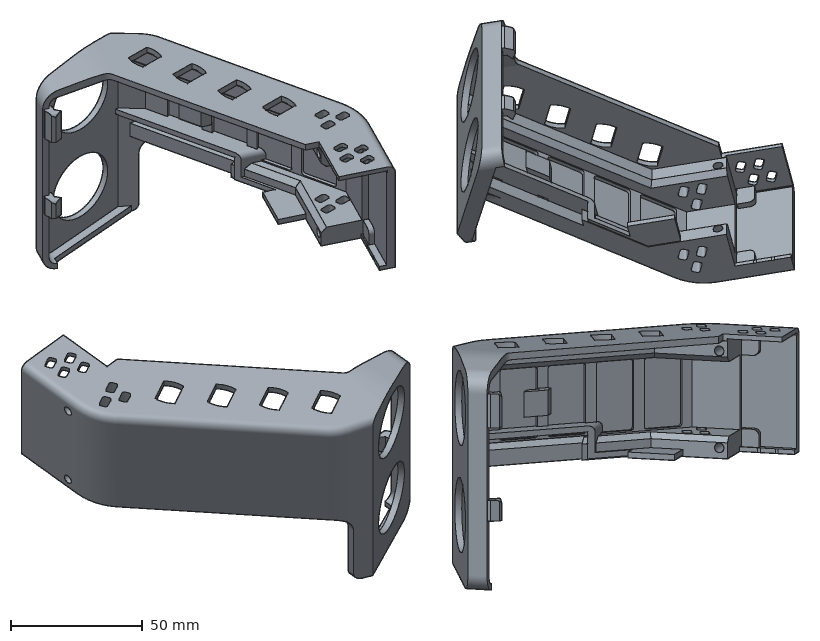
import cadquery as cq
import math

LENGTH = 115.5
DEPTH = 110.8
ARM_HEIGHT = 48.3
ARM_ANGLE = 40.0
PLATE = 2.7
BACK_WALL = 3.5
END_DEPTH = 22.6
ARM_WIDTH = 31.4
BEND_X = 76.7
FACE_TOP_Y = -73.1
FACE_FOOT_X = 17.4
HEAD_X = 25.1
EDGE_ROUND = 3.1
BIG = 231.0
OVERLAP = 1.3
PICK = 0.6

ARM_COS = math.cos(math.radians(ARM_ANGLE))
ARM_SLOPE = math.tan(math.radians(ARM_ANGLE))
FACE_RUN = DEPTH + FACE_TOP_Y
FACE_TILT = math.degrees(math.atan2(FACE_FOOT_X, FACE_RUN))
SIDE_SLOPE = 2.7


def back_y(x, depth=0.0):
    """Y of the line parallel to the sloping back face, at a depth square to it."""
    return (x - BEND_X) * ARM_SLOPE - depth / ARM_COS


def back_x(y, depth=0.0):
    """X of the same line at a given Y."""
    return BEND_X + (y + depth / ARM_COS) / ARM_SLOPE


def prism(points, bottom, top):
    """Upright prism on a plan polygon."""
    return cq.Workplane("XY").workplane(offset=bottom).polyline(points).close().extrude(top - bottom)


CORNER_X = (back_y(0) - FACE_TOP_Y) / (SIDE_SLOPE - ARM_SLOPE)
CORNER = (CORNER_X, back_y(CORNER_X))
NOTCH_X = 92.1
THROAT_Y = -83.0
THROAT_ROUND = 3.5
BEND_ROUND = 24.3
CORNER_ROUND = 17.3


def plan_prism(bottom, top):
    """Whole plan outline, with the two rounded bends of the back and the rounded throat."""
    body = prism([
        (LENGTH, 0),
        (BEND_X, 0),
        CORNER,
        (0, FACE_TOP_Y),
        (FACE_FOOT_X, -DEPTH),
        (HEAD_X, -DEPTH),
        (HEAD_X, back_y(HEAD_X, ARM_WIDTH)),
        (NOTCH_X, back_y(NOTCH_X, ARM_WIDTH)),
        (NOTCH_X, -END_DEPTH),
        (LENGTH, -END_DEPTH),
    ], bottom, top)
    throat = (HEAD_X, back_y(HEAD_X, ARM_WIDTH))
    for (x, y), radius in [((BEND_X, 0), BEND_ROUND), (CORNER, CORNER_ROUND), (throat, THROAT_ROUND)]:
        nearby = cq.selectors.BoxSelector((x - PICK, y - PICK, -2 * BIG), (x + PICK, y + PICK, BIG))
        body = body.edges("|Z").edges(nearby).fillet(radius)
    return body


def in_front(sloping_depth, straight_depth, bottom, top):
    """Space in front of a wall of the given depths along the sloping and straight backs."""
    turn_x = back_x(-straight_depth, sloping_depth)
    return prism([
        (-BIG, back_y(-BIG, sloping_depth)),
        (turn_x, -straight_depth),
        (BIG, -straight_depth),
        (BIG, -BIG),
        (-BIG, -2 * BIG),
    ], bottom, top)


HEAD_BACK_Y = -65.6
HEAD_BOTTOM_BACK = -83.5
HEAD_BOTTOM_FRONT = -88.5
SLOPE_START_Y = -93.2
SLOPE_START_Z = -1.0
SLOPE_BEND_Z = -0.29
SLOPE_END_Z = -4.6
HEAD_TOP_ROUND = 8.1
HEAD_BOTTOM_ROUND = 6.0
HEAD_BACK_ROUND = 4.0
ARM_JOIN_ROUND = 8.1


def head_profile():
    """Head seen from the side, extruded across X."""
    middle_y = (THROAT_Y + SLOPE_START_Y) / 2
    profile = (
        cq.Workplane("YZ").moveTo(0, 0)
        .lineTo(THROAT_Y, 0)
        .threePointArc((middle_y, SLOPE_BEND_Z), (SLOPE_START_Y, SLOPE_START_Z))
        .lineTo(-DEPTH, SLOPE_END_Z)
        .lineTo(-DEPTH, HEAD_BOTTOM_FRONT)
        .lineTo(HEAD_BACK_Y, HEAD_BOTTOM_BACK)
        .lineTo(HEAD_BACK_Y, -ARM_HEIGHT)
        .lineTo(0, -ARM_HEIGHT)
        .close().extrude(BIG, both=True)
    )
    corners = [
        (-DEPTH, SLOPE_END_Z, HEAD_TOP_ROUND),
        (-DEPTH, HEAD_BOTTOM_FRONT, HEAD_BOTTOM_ROUND),
        (HEAD_BACK_Y, HEAD_BOTTOM_BACK, HEAD_BACK_ROUND),
        (HEAD_BACK_Y, -ARM_HEIGHT, ARM_JOIN_ROUND),
    ]
    for y, z, radius in corners:
        nearby = cq.selectors.BoxSelector((-2 * BIG, y - PICK, z - PICK), (2 * BIG, y + PICK, z + PICK))
        profile = profile.edges("|X").edges(nearby).fillet(radius)
    return profile


def outer_block():
    """Solid envelope of the head and the arm, with the rounded top edge along the back."""
    full = plan_prism(-BIG, 0)
    left_of_head = prism([(-BIG, -BIG), (HEAD_X, -BIG), (HEAD_X, 0), (-BIG, 0)], -BIG, 0)
    head = full.intersect(left_of_head)
    arm = plan_prism(-ARM_HEIGHT, 0)
    block = arm.union(head).intersect(head_profile())
    chosen = []
    for edge in block.faces(">Z").edges().vals():
        center = edge.Center()
        on_sloping_back = center.y > back_y(center.x) - BACK_WALL
        on_side_wall = center.x < CORNER_X and center.y > FACE_TOP_Y
        if center.y > -BACK_WALL or on_sloping_back or on_side_wall:
            chosen.append(edge)
    return block.newObject(chosen).fillet(EDGE_ROUND)


SIDE_WALL = 2.8
HEAD_FLOOR_WIDTH = 6.4


def face_offset(distance):
    """Two far points on the line parallel to the face panel, at a distance behind it."""
    along_x = FACE_FOOT_X / math.hypot(FACE_FOOT_X, FACE_RUN)
    along_y = -FACE_RUN / math.hypot(FACE_FOOT_X, FACE_RUN)
    start = (-along_y * distance, FACE_TOP_Y + along_x * distance)
    return [(start[0] + k * along_x, start[1] + k * along_y) for k in (-BIG, BIG)]


def behind_face(distance, bottom, top):
    """Everything further behind the face panel than the distance."""
    upper, lower = face_offset(distance)
    return prism([upper, lower, (BIG * 2, lower[1]), (BIG * 2, upper[1])], bottom, top)


def beside_side_wall(bottom, top):
    """Everything to the +X side of the head's side wall."""
    shift = SIDE_WALL * math.hypot(1, SIDE_SLOPE) / SIDE_SLOPE
    ends = [(y, (y - FACE_TOP_Y) / SIDE_SLOPE + shift) for y in (-BIG, BIG)]
    return prism([(ends[0][1], -BIG), (ends[1][1], BIG), (BIG, BIG), (BIG, -BIG)], bottom, top)


def hollow():
    """Space inside the walls: open towards the front of the arm and at the head's back."""
    walls = in_front(BACK_WALL, BACK_WALL, -BIG, 0)
    inside = walls.intersect(behind_face(PLATE, -BIG, 0)).intersect(beside_side_wall(-BIG, 0))
    front_ceiling = SLOPE_END_Z - PLATE
    section = (
        cq.Workplane("YZ")
        .polyline([
            (BIG, -PLATE),
            (THROAT_Y, -PLATE),
            (PLATE - DEPTH, front_ceiling),
            (PLATE - DEPTH, HEAD_BOTTOM_FRONT + PLATE),
            (HEAD_BACK_Y, HEAD_BOTTOM_BACK + PLATE),
            (BIG, HEAD_BOTTOM_BACK + PLATE),
        ])
        .close().extrude(BIG, both=True)
        .edges("|X").edges("<Y").fillet(HEAD_BOTTOM_ROUND - PLATE)
    )
    past_floor = behind_face(HEAD_FLOOR_WIDTH, -BIG, -ARM_HEIGHT)
    end_y = HEAD_BOTTOM_ROUND - DEPTH
    end_wall = prism([(-BIG, -BIG), (BIG, -BIG), (BIG, end_y), (-BIG, end_y)], -BIG, -ARM_HEIGHT)
    past_floor = past_floor.cut(end_wall)
    return inside.intersect(section).union(inside.intersect(past_floor))


LEDGE_TOP_HEIGHT = 8.9
LEDGE_BOTTOM_HEIGHT = 6.2
LEDGE_CHAMFER = 2.2
LEDGE_END_X = 93.8
LEDGE_STRAIGHT = 22.4
TOP_LEDGE = 9.6
BOTTOM_LEDGE = 8.7
BOTTOM_LEDGE_START_X = 41.6
BOTTOM_LEDGE_INNER = 6.4
WALL_STRAIGHT = 6.0
ON_LINE = 0.01
LIP = 1.8
BOTTOM_LIP_DEPTH = 6.4
STOP_START_X = 94.4
STOP_WIDTH = 6.9
STOP_TOP_HEIGHT = 9.1
STOP_BOTTOM_HEIGHT = 6.9
STOP_DEPTH = 5.8
STOP_ROUND = 2.3


def across(start_x, end_x, bottom, top):
    """Slab that limits a feature to a range of X."""
    return prism([(start_x, -BIG), (end_x, -BIG), (end_x, BIG), (start_x, BIG)], bottom, top)


def step(sloping_depth, straight_depth, bottom, top, start_x=0.0):
    """Step of the given depths along the inside of the back wall, up to the ledge end."""
    body = plan_prism(bottom, top).cut(in_front(sloping_depth, straight_depth, bottom, top))
    body = body.intersect(across(start_x, LEDGE_END_X, bottom, top))
    return body.intersect(behind_face(OVERLAP, bottom, top)).intersect(beside_side_wall(bottom, top))


def bevel_front(body, side, depths):
    """Chamfer the front edges of a step on its upper or lower side."""
    chosen = []
    for edge in body.faces(side).edges().vals():
        center = edge.Center()
        on_slope = abs(center.y - back_y(center.x, depths[0])) < ON_LINE
        on_straight = abs(center.y + depths[1]) < ON_LINE
        if on_slope or on_straight:
            chosen.append(edge)
    return body.newObject(chosen).chamfer(LEDGE_CHAMFER)


def ledges():
    """Beveled ledges under the top plate and along the bottom, and the wall between them."""
    upper_edge = -LEDGE_TOP_HEIGHT - LEDGE_CHAMFER
    lower_edge = LEDGE_BOTTOM_HEIGHT + LEDGE_CHAMFER - ARM_HEIGHT
    top_depths = (TOP_LEDGE, LEDGE_STRAIGHT)
    bottom_depths = (BOTTOM_LEDGE, LEDGE_STRAIGHT)
    inner_depths = (BOTTOM_LEDGE_INNER, LEDGE_STRAIGHT)
    upper = step(*top_depths, upper_edge, -OVERLAP)
    lower = step(*bottom_depths, -ARM_HEIGHT, lower_edge, BOTTOM_LEDGE_START_X)
    inner = step(*inner_depths, -ARM_HEIGHT, lower_edge)
    wall = step(BACK_WALL, WALL_STRAIGHT, lower_edge, upper_edge)
    body = bevel_front(upper, "<Z", top_depths).union(bevel_front(lower, ">Z", bottom_depths))
    body = body.union(bevel_front(inner, ">Z", inner_depths)).union(wall)
    clear_of_rounding = in_front(EDGE_ROUND, EDGE_ROUND, -ARM_HEIGHT, 0)
    return body.intersect(clear_of_rounding)


def end_relief():
    """Thins the top plate along the straight end."""
    return prism([
        (LEDGE_END_X, -EDGE_ROUND),
        (BIG, -EDGE_ROUND),
        (BIG, -BIG),
        (LEDGE_END_X, -BIG),
    ], -PLATE, -LIP)


def stop_block(height, rounded_side):
    """Stop beside a ledge, standing on Z = 0, with one rounded corner."""
    block = cq.Workplane("XY").box(STOP_WIDTH, STOP_DEPTH - EDGE_ROUND, height, centered=False)
    block = block.edges("|Y").edges(">X").edges(rounded_side).fillet(STOP_ROUND)
    return block.translate((STOP_START_X, -STOP_DEPTH, 0))


def end_stops():
    """Bottom lip of the straight end and the two stops beside the ledges."""
    lip = prism([
        (LEDGE_END_X, -EDGE_ROUND),
        (LENGTH, -EDGE_ROUND),
        (LENGTH, -BOTTOM_LIP_DEPTH),
        (LEDGE_END_X, -BOTTOM_LIP_DEPTH),
    ], -ARM_HEIGHT, LIP - ARM_HEIGHT)
    upper = stop_block(STOP_TOP_HEIGHT, "<Z").translate((0, 0, -LIP - STOP_TOP_HEIGHT))
    lower = stop_block(STOP_BOTTOM_HEIGHT, ">Z").translate((0, 0, LIP - ARM_HEIGHT))
    return lip.union(upper).union(lower)


RIB_DEPTH = 9.7
RIB_THICK = 2.3
RIB_HIGH = -35.0
RIB_STEP_X = 46.1
RIB_LOW = -45.5
RIB_ROUND = 2.3
RIB_END_X = 71.6
BRIDGE_START_X = 57.8
BRIDGE_END_X = 76.1
BRIDGE_Y = -33.6
PEG_START_X = 23.1
PEG_END_X = 30.7
PEG_TOP = -20.2
PEG_BOTTOM = -30.0
PEG_DEPTH = 8.1


def rib():
    """Stepped rib on the sloping wall: high beside the head, then down and along the bottom."""
    outline = (
        cq.Workplane("XZ")
        .polyline([
            (0, RIB_HIGH),
            (RIB_STEP_X, RIB_HIGH),
            (RIB_STEP_X, RIB_LOW),
            (RIB_END_X, RIB_LOW),
            (RIB_END_X, RIB_LOW - RIB_THICK),
            (RIB_STEP_X - RIB_THICK, RIB_LOW - RIB_THICK),
            (RIB_STEP_X - RIB_THICK, RIB_HIGH - RIB_THICK),
            (0, RIB_HIGH - RIB_THICK),
        ])
        .close().extrude(BIG)
    )
    corner = cq.selectors.BoxSelector(
        (RIB_STEP_X - PICK, -2 * BIG, RIB_HIGH - PICK), (RIB_STEP_X + PICK, BIG, RIB_HIGH + PICK))
    outline = outline.edges("|Y").edges(corner).fillet(RIB_ROUND)
    return outline.intersect(step(RIB_DEPTH, LEDGE_STRAIGHT, -ARM_HEIGHT, 0))


def bridge():
    """Floor tab that closes the space below the last window."""
    return prism([
        (BRIDGE_START_X, BRIDGE_Y),
        (BRIDGE_END_X, BRIDGE_Y),
        (BRIDGE_END_X, -LEDGE_STRAIGHT),
        (BRIDGE_START_X, back_y(BRIDGE_START_X, BACK_WALL)),
    ], RIB_LOW - RIB_THICK, RIB_LOW)


def peg():
    """Block on the sloping wall beside the head."""
    body = step(PEG_DEPTH, LEDGE_STRAIGHT, PEG_BOTTOM, PEG_TOP, PEG_START_X)
    return body.intersect(across(PEG_START_X, PEG_END_X, PEG_BOTTOM, PEG_TOP))


WINDOW_COUNT = 4
WINDOW_START = (20.0, -68.0)
WINDOW_PITCH_X = 15.2
WINDOW_WIDTH = 8.0
WINDOW_LENGTH = 9.7
WINDOW_BULGE = 0.7
VENT_WIDTH = 3.5
VENT_LENGTH = 5.1
VENT_ROUND = 1.0
VENT_PITCH = 7.0
VENT_FRONT_Y = -15.9
VENT_BACK_Y = -8.9
VENT_FRONT_GROUPS = (75.9, 98.1)
VENT_BACK_XS = (79.5, 101.5, 108.6)
SCREW_X = 90.6
SCREW_RADIUS = 1.8
SCREW_HEIGHTS = (-6.7, -44.1)
PORT_RADIUS = 14.3
PORT_Y = -92.1
PORT_HEIGHTS = (-20.7, -62.0)
POCKET_DEPTH = 1.4
POCKET_TOP = -11.8
POCKET_BOTTOM = -39.3
POCKET_WIDTH = 15.5
POCKET_ROUND = 1.2


def window(x, y, depth):
    """Slot with bulged ends, parallel to the face panel, cut down from the top."""
    half_width = WINDOW_WIDTH / 2
    half_length = WINDOW_LENGTH / 2
    slot = (
        cq.Workplane("XY").moveTo(-half_width, -half_length)
        .threePointArc((0, -half_length - WINDOW_BULGE), (half_width, -half_length))
        .lineTo(half_width, half_length)
        .threePointArc((0, half_length + WINDOW_BULGE), (-half_width, half_length))
        .close().extrude(-depth)
    )
    return slot.rotate((0, 0, 0), (0, 0, 1), FACE_TILT).translate((x, y, 0))


def vent(x, y):
    """Small rounded slot through the whole arm height."""
    slot = cq.Workplane("XY").rect(VENT_WIDTH, VENT_LENGTH).extrude(-ARM_HEIGHT)
    slot = slot.edges("|Z").fillet(VENT_ROUND)
    return slot.rotate((0, 0, 0), (0, 0, 1), FACE_TILT).translate((x, y, 0))


def pocket(x):
    """Shallow rounded pocket in the inner face of the sloping wall."""
    height = POCKET_TOP - POCKET_BOTTOM
    block = cq.Workplane("XY").box(POCKET_WIDTH, 2 * POCKET_DEPTH, height)
    block = block.edges("|Y").fillet(POCKET_ROUND)
    block = block.rotate((0, 0, 0), (0, 0, 1), ARM_ANGLE)
    return block.translate((x, back_y(x, BACK_WALL), (POCKET_TOP + POCKET_BOTTOM) / 2))


def cut_openings(body):
    """Cut the windows, vents, screw holes, wall pockets and the two ports in the face panel."""
    for number in range(WINDOW_COUNT):
        shift = number * WINDOW_PITCH_X
        last = number == WINDOW_COUNT - 1
        depth = -RIB_LOW if last else ARM_HEIGHT
        body = body.cut(window(WINDOW_START[0] + shift, WINDOW_START[1] + shift * ARM_SLOPE, depth))
        body = body.cut(pocket(WINDOW_START[0] + shift))
    for x in VENT_FRONT_GROUPS:
        body = body.cut(vent(x, VENT_FRONT_Y)).cut(vent(x + VENT_PITCH, VENT_FRONT_Y))
    for x in VENT_BACK_XS:
        body = body.cut(vent(x, VENT_BACK_Y))
    for z in SCREW_HEIGHTS:
        body = body.cut(cq.Workplane("XZ").center(SCREW_X, z).circle(SCREW_RADIUS).extrude(BIG))
    port_x = (FACE_TOP_Y - PORT_Y) * FACE_FOOT_X / FACE_RUN
    tilt = math.radians(FACE_TILT)
    for z in PORT_HEIGHTS:
        plane = cq.Plane((port_x, PORT_Y, z), xDir=(0, 0, 1), normal=(math.cos(tilt), math.sin(tilt), 0))
        body = body.cut(cq.Workplane(plane).circle(PORT_RADIUS).extrude(PLATE * 2, both=True))
    return body


CLIPS = ((-11.1, -24.3), (-52.2, -60.3))
CLIP_ROUND = 1.7
CLIP_REACH = 4.7
CLIP_DEPTH = 6.5
CLIP_OUTLINE = (
    (-OVERLAP, 0.3),
    (1.2, 0.6),
    (4.3, 2.2),
    (CLIP_REACH, 3.7),
    (3.0, CLIP_DEPTH),
    (1.4, 4.3),
    (-OVERLAP, 3.9),
)


def clip(top, bottom):
    """Hooked catch that starts inside the end wall and stands out from the open side."""
    hook = prism([(HEAD_X + x, y - DEPTH) for x, y in CLIP_OUTLINE], bottom, top)
    width = HEAD_X + CLIP_REACH
    limit = cq.Workplane("XY").box(width, CLIP_DEPTH, top - bottom, centered=False)
    limit = limit.edges("|Y").edges(">X and >Z").fillet(CLIP_ROUND)
    return hook.intersect(limit.translate((0, -DEPTH, bottom)))


result = outer_block().cut(hollow()).cut(end_relief())
result = result.union(ledges()).union(end_stops()).union(peg()).union(bridge())
result = cut_openings(result).union(rib())
for clip_top, clip_bottom in CLIPS:
    result = result.union(clip(clip_top, clip_bottom))